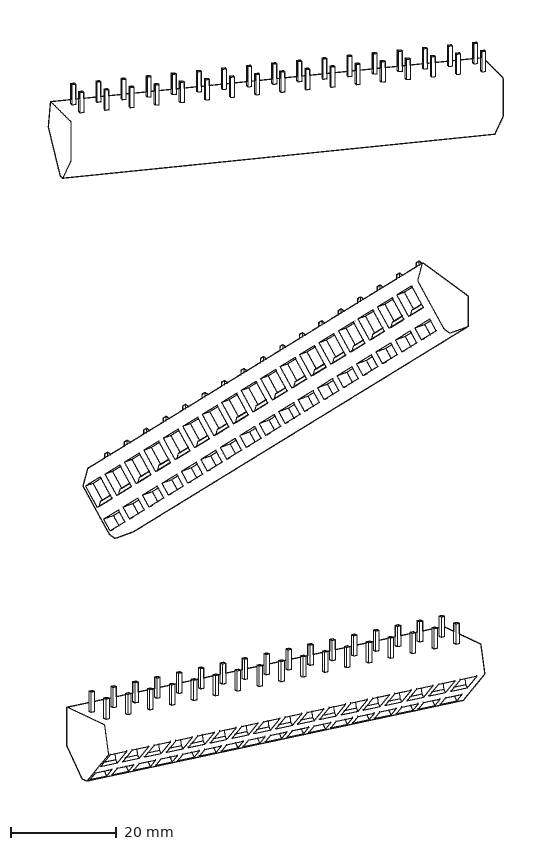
import cadquery as cq

length = 86.0
body_width = 14.3
body_height = 13.0
total_height = 17.0
edge_radius = 0.3

left_corner_height = 7.4
right_corner_height = 5.25
top_left_inset = 1.4

pole_count = 17
pole_span = 80.0
pole_pitch = pole_span / (pole_count - 1)
first_pole = 3.6
pole_positions = [first_pole + pole_pitch * i for i in range(pole_count)]

pin_size = 0.8
first_pin_row = 4.3
pin_rows = [first_pin_row, first_pin_row + pole_pitch]

pocket_width = 3.8
pocket_run = 2.75
lower_pocket_bottom = 0.35
lower_pocket_top = 2.15
upper_pocket_bottom = 3.95
upper_pocket_top = 7.2

step_start = 0.5
step_height = 1.7
step_reach = 0.4


def make_body():
    """Prism along Y with a bevelled underside and rounded long edges."""
    outline = [
        (0, left_corner_height),
        (left_corner_height, 0),
        (body_width - right_corner_height, 0),
        (body_width, right_corner_height),
        (body_width, body_height),
        (top_left_inset, body_height),
    ]
    prism = cq.Workplane("XZ").polyline(outline).close().extrude(-length)
    return prism.edges("|Y").fillet(edge_radius)


def make_pins():
    """Two rows of square pins on the top face."""
    return (
        cq.Workplane("XY", origin=(0, 0, body_height))
        .pushPoints([(x, y) for x in pin_rows for y in pole_positions])
        .rect(pin_size, pin_size)
        .extrude(total_height - body_height)
    )


def underside_point(z, run=0):
    """Point at height z on the left underside, moved inward square to it by run in X and Z."""
    return (left_corner_height - z + run, z + run)


def make_pocket_row(outline):
    """One pocket of the given XZ outline at every pole."""
    pocket = cq.Workplane("XZ").polyline(outline).close().extrude(pocket_width / 2, both=True)
    row = cq.Workplane("XY")
    for y in pole_positions:
        row = row.add(pocket.translate((0, y, 0)))
    return row.combine()


def make_lower_pockets():
    """Plain rectangular pockets near the bottom face."""
    return make_pocket_row([
        underside_point(lower_pocket_bottom),
        underside_point(lower_pocket_bottom, pocket_run),
        underside_point(lower_pocket_top, pocket_run),
        underside_point(lower_pocket_top),
    ])


def make_upper_pockets():
    """Pockets below the left corner, whose lower wall has a steep step."""
    step_x, step_z = underside_point(upper_pocket_bottom, step_start)
    step_end = (step_x + step_reach, step_z + step_height)
    wall_end_z = upper_pocket_bottom + pocket_run
    wall_end = (step_end[0] + wall_end_z - step_end[1], wall_end_z)
    floor_run = (sum(wall_end) - left_corner_height) / 2
    return make_pocket_row([
        underside_point(upper_pocket_bottom),
        (step_x, step_z),
        step_end,
        wall_end,
        underside_point(upper_pocket_top, floor_run),
        underside_point(upper_pocket_top),
    ])


result = make_body().cut(make_lower_pockets()).cut(make_upper_pockets()).union(make_pins())